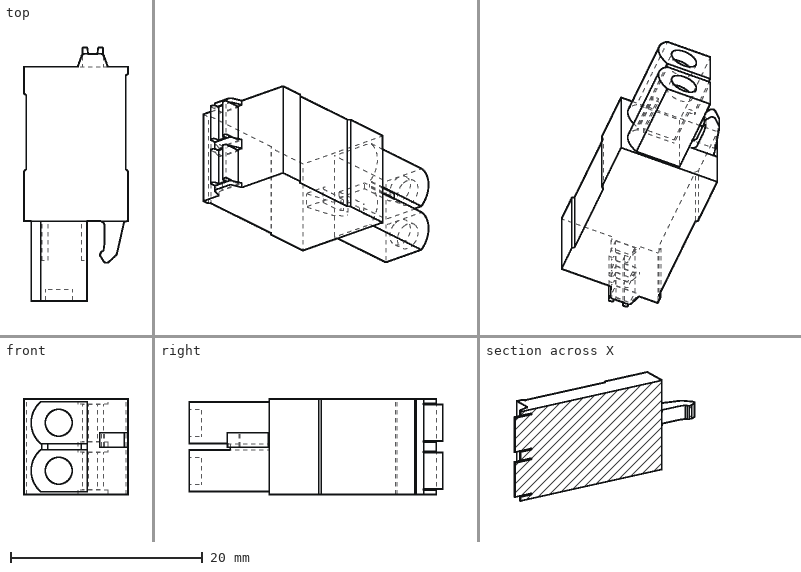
import cadquery as cq
import math


body_width = 10.9
overall_length = 26.5
body_length = 16.15
body_height = 10.0
half_width = body_width / 2
half_height = body_height / 2

grip_depth = 0.25
grip_front = 5.2
left_grip_back = 13.33
left_grip_back_ramp = 0.15
right_grip_back = 15.37
right_grip_back_ramp = 0.13

overlap = 0.26

pole_pitch = 5.0
pole_heights = (-pole_pitch / 2, pole_pitch / 2)
socket_length = 8.35
socket_height = 4.35
socket_axis_x = -1.8
socket_radius = 2.9
socket_flat_x = 1.17
bore_radius = 1.4
bore_depth = 1.25

rib_length = 4.05
rib_width = 0.64
rib_height = pole_pitch - socket_height
rib_left_edges = (-3.58, socket_flat_x - rib_width)

latch_bottom = -0.05
latch_height = 1.55
latch_left = 2.97
latch_right = 5.04
latch_inner_foot = 0.65
latch_ramp_width = 0.3
latch_ramp_height = 0.08
latch_root_radius = 0.48
latch_hook_radius = 0.15
latch_tip_radius = 0.4
latch_elbow_radius = 0.53

key_center_x = 1.75
key_height = 1.32
key_base_width = 3.15
key_top_width = 2.2
key_shoulder_radius = 0.32

tab_length = overall_length - body_length - socket_length
tab_width = 2.17
tab_thickness = 3.85
tab_clearance = 0.08
leg_top_width = 0.53
leg_root_width = 0.6
leg_tip_radius = 0.15


def make_body():
    """Rectangular block with a shallow finger-grip recess in each side."""
    outline = [
        (-half_width, 0),
        (half_width, 0),
        (half_width, grip_front),
        (half_width - grip_depth, grip_front + grip_depth),
        (half_width - grip_depth, right_grip_back - right_grip_back_ramp),
        (half_width, right_grip_back),
        (half_width, body_length),
        (-half_width, body_length),
        (-half_width, left_grip_back),
        (-half_width + grip_depth, left_grip_back - left_grip_back_ramp),
        (-half_width + grip_depth, grip_front + grip_depth),
        (-half_width, grip_front),
    ]
    slab = cq.Workplane("XY").workplane(offset=-half_height)
    return slab.polyline(outline).close().extrude(body_height)


def make_socket(z):
    """D-shaped socket with a rounded left side and a blind round bore."""
    half = socket_height / 2
    arc_start_x = socket_axis_x - math.sqrt(socket_radius**2 - half**2)
    socket = (
        cq.Workplane("XZ", origin=(0, 0, z))
        .moveTo(socket_flat_x, half)
        .lineTo(arc_start_x, half)
        .threePointArc((socket_axis_x - socket_radius, 0), (arc_start_x, -half))
        .lineTo(socket_flat_x, -half)
        .close()
        .extrude(socket_length)
    )
    bore = (
        cq.Workplane("XZ", origin=(socket_axis_x, -socket_length, z))
        .circle(bore_radius)
        .extrude(-bore_depth)
    )
    return socket.cut(bore)


def make_rib(left_edge):
    """Web filling the gap between the sockets next to the body."""
    rib = cq.Workplane("XY").box(rib_width, rib_length, rib_height, centered=False)
    return rib.translate((left_edge, -rib_length, -rib_height / 2))


def make_latch():
    """Hooked spring arm with its foot buried in the body."""
    neck_top = (latch_left, -2.28)
    neck_bottom = (2.85, -3.07)
    barb = (2.65, -3.18)
    hook_point = (2.46, -3.52)
    tip = (3.1, -4.58)
    elbow = (4.27, -3.47)
    outline = [
        (latch_left - latch_inner_foot, overlap),
        (latch_left - latch_inner_foot, 0),
        (latch_left, 0),
        neck_top,
        neck_bottom,
        barb,
        hook_point,
        tip,
        elbow,
        (latch_right, -latch_ramp_height),
        (latch_right + latch_ramp_width, 0),
        (latch_right + latch_ramp_width, overlap),
    ]
    arm = (
        cq.Workplane("XY")
        .workplane(offset=latch_bottom)
        .polyline(outline)
        .close()
        .extrude(latch_height)
    )
    roundings = [
        ((latch_left, 0), latch_root_radius),
        (hook_point, latch_hook_radius),
        (tip, latch_tip_radius),
        (elbow, latch_elbow_radius),
    ]
    for (x, y), radius in roundings:
        corner = cq.selectors.NearestToPointSelector((x, y, latch_bottom + latch_height / 2))
        arm = arm.edges("|Z").edges(corner).fillet(radius)
    return arm


def make_key():
    """Tapered coding key, cut away where the tabs stand."""
    base = key_base_width / 2
    top = key_top_width / 2
    key = (
        cq.Workplane("XY", origin=(key_center_x, body_length, -half_height))
        .polyline([
            (-base, -overlap),
            (-base, 0),
            (-top, key_height),
            (top, key_height),
            (base, 0),
            (base, -overlap),
        ])
        .close()
        .extrude(body_height)
        .edges("|Z and >Y")
        .fillet(key_shoulder_radius)
    )
    for z in pole_heights:
        window = cq.Workplane("XY").box(key_base_width, key_height, tab_thickness + 2 * tab_clearance)
        key = key.cut(window.translate((key_center_x, body_length + key_height / 2, z)))
    return key


def make_tab(z):
    """Forked tab with two rounded legs."""
    half = tab_width / 2
    tip_inner = half - leg_top_width
    root_inner = half - leg_root_width
    return (
        cq.Workplane("XY", origin=(key_center_x, body_length, z - tab_thickness / 2))
        .polyline([
            (-half, -overlap),
            (half, -overlap),
            (half, tab_length),
            (tip_inner, tab_length),
            (root_inner, key_height),
            (-root_inner, key_height),
            (-tip_inner, tab_length),
            (-half, tab_length),
        ])
        .close()
        .extrude(tab_thickness)
        .edges("|Z and >Y")
        .fillet(leg_tip_radius)
    )


result = make_body().union(make_key()).union(make_latch())
for pole_z in pole_heights:
    result = result.union(make_socket(pole_z)).union(make_tab(pole_z))
for edge_x in rib_left_edges:
    result = result.union(make_rib(edge_x))